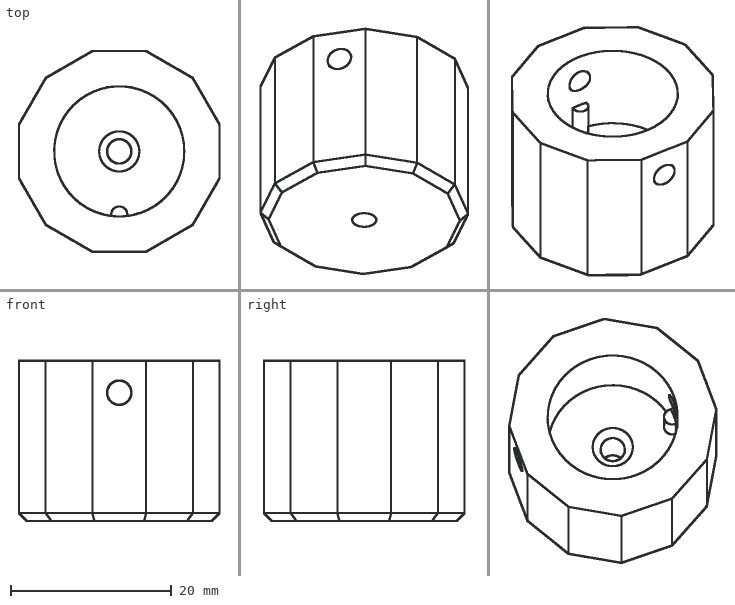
import cadquery as cq
import math

side_count = 12
width_across_flats = 25.0
height = 20.0
bottom_chamfer = 1.0

bore_diameter = 16.2
floor_thickness = 8.0

screw_hole_diameter = 3.0
countersink_diameter = 5.0
countersink_angle = 90.0

cross_hole_diameter = 3.0
cross_hole_below_top = 4.0

key_width = 2.0
key_projection = 1.25
key_height = 4.0
key_root_in_wall = 0.75


def make_body():
    width_across_corners = width_across_flats / math.cos(math.pi / side_count)
    half_side_angle = 180.0 / side_count
    return (
        cq.Workplane("XY")
        .transformed(rotate=(0, 0, half_side_angle))
        .polygon(side_count, width_across_corners)
        .extrude(height)
        .faces("<Z")
        .chamfer(bottom_chamfer)
    )


def cut_bore(body):
    bore = (
        cq.Workplane("XY", origin=(0, 0, floor_thickness))
        .circle(bore_diameter / 2)
        .extrude(height - floor_thickness)
    )
    return body.cut(bore)


def make_countersink():
    """Cone that opens upward from the screw hole to the countersink diameter at the floor."""
    top_radius = countersink_diameter / 2
    cone_height = top_radius / math.tan(math.radians(countersink_angle / 2))
    apex = cq.Vector(0, 0, floor_thickness - cone_height)
    return cq.Workplane(cq.Solid.makeCone(0, top_radius, cone_height, apex))


def cut_screw_hole(body):
    screw_hole = cq.Workplane("XY").circle(screw_hole_diameter / 2).extrude(floor_thickness)
    return body.cut(screw_hole).cut(make_countersink())


def cut_cross_hole(body):
    cross_hole = (
        cq.Workplane("XZ")
        .center(0, height - cross_hole_below_top)
        .circle(cross_hole_diameter / 2)
        .extrude(width_across_flats / 2, both=True)
    )
    return body.cut(cross_hole)


def add_key(body):
    """Key with straight sides rooted in the bore wall and a half-round nose towards the axis."""
    wall_y = -bore_diameter / 2
    root_y = wall_y - key_root_in_wall
    nose_tip_y = wall_y + key_projection
    nose_radius = key_width / 2
    nose_center_y = nose_tip_y - nose_radius
    key = (
        cq.Workplane("XY", origin=(0, 0, floor_thickness))
        .moveTo(-nose_radius, root_y)
        .lineTo(-nose_radius, nose_center_y)
        .threePointArc((0, nose_tip_y), (nose_radius, nose_center_y))
        .lineTo(nose_radius, root_y)
        .close()
        .extrude(key_height)
    )
    return body.union(key)


result = make_body()
result = cut_bore(result)
result = cut_screw_hole(result)
result = cut_cross_hole(result)
result = add_key(result)